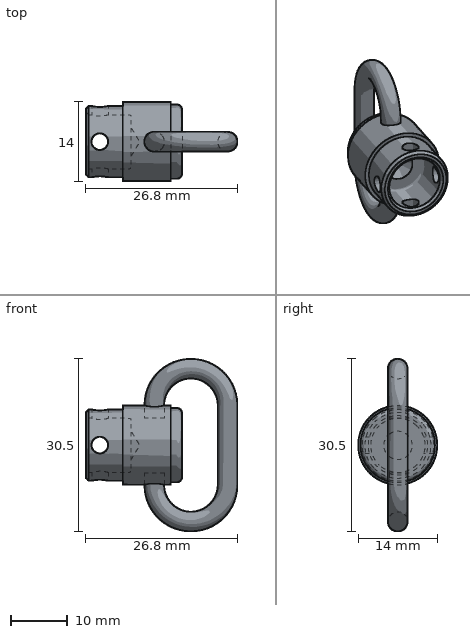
import cadquery as cq
import math

total_length = 26.75
total_height = 30.5

collar_radius = 7.0
front_radius = 6.3
rear_radius = 6.6
collar_start = 6.53
collar_end = 14.98
housing_length = 17.0
mouth_chamfer = 0.5
rear_fillet = 1.0

bore_radius = 4.8
bore_depth = 7.93
bore_chamfer = 0.45
floor_fillet = 0.4
drill_point_radius = 2.5
drill_point_angle = 118.0
drill_point_depth = drill_point_radius / math.tan(math.radians(drill_point_angle / 2))

cross_hole_radius = 1.45
cross_hole_x = 2.45

wire_radius = 1.755
wire_start_x = 12.05
wire_far_x = total_length - wire_radius
bend_radius = (wire_far_x - wire_start_x) / 2
bend_center_x = wire_start_x + bend_radius
bend_z = total_height / 2 - wire_radius - bend_radius
wire_end_depth = 2.15
wire_end_z = collar_radius - wire_end_depth


def turned_body():
    """Stepped round body with a chamfered mouth, a rounded rear and a blind bore."""
    floor_arc_offset = floor_fillet * math.sqrt(0.5)
    rear_arc_offset = rear_fillet * math.sqrt(0.5)
    floor_fillet_x = bore_depth - floor_fillet
    floor_fillet_r = bore_radius - floor_fillet
    rear_fillet_x = housing_length - rear_fillet
    rear_fillet_r = rear_radius - rear_fillet
    half_section = (
        cq.Workplane("XY")
        .moveTo(bore_depth + drill_point_depth, 0)
        .lineTo(bore_depth, drill_point_radius)
        .lineTo(bore_depth, floor_fillet_r)
        .threePointArc(
            (floor_fillet_x + floor_arc_offset, floor_fillet_r + floor_arc_offset),
            (floor_fillet_x, bore_radius),
        )
        .lineTo(bore_chamfer, bore_radius)
        .lineTo(0, bore_radius + bore_chamfer)
        .lineTo(0, front_radius - mouth_chamfer)
        .lineTo(mouth_chamfer, front_radius)
        .lineTo(collar_start, front_radius)
        .lineTo(collar_start, collar_radius)
        .lineTo(collar_end, collar_radius)
        .lineTo(collar_end, rear_radius)
        .lineTo(rear_fillet_x, rear_radius)
        .threePointArc(
            (rear_fillet_x + rear_arc_offset, rear_fillet_r + rear_arc_offset),
            (housing_length, rear_fillet_r),
        )
        .lineTo(housing_length, 0)
        .close()
    )
    return half_section.revolve(360, (0, 0, 0), (1, 0, 0))


def cross_hole(plane):
    """Cutter through both walls, along the normal of the given plane."""
    return (
        cq.Workplane(plane)
        .center(cross_hole_x, 0)
        .circle(cross_hole_radius)
        .extrude(collar_radius, both=True)
    )


def make_wire_loop():
    """Round wire bent into an oval whose two ends point at each other."""
    bend_top_z = bend_z + bend_radius
    path = (
        cq.Workplane("XZ")
        .moveTo(wire_start_x, wire_end_z)
        .lineTo(wire_start_x, bend_z)
        .threePointArc((bend_center_x, bend_top_z), (wire_far_x, bend_z))
        .lineTo(wire_far_x, -bend_z)
        .threePointArc((bend_center_x, -bend_top_z), (wire_start_x, -bend_z))
        .lineTo(wire_start_x, -wire_end_z)
    )
    wire_section = cq.Workplane("XY", origin=(wire_start_x, 0, wire_end_z)).circle(wire_radius)
    return wire_section.sweep(path)


def make_housing(loop):
    """Turned body with cross holes and matching sockets for the wire ends."""
    body = turned_body()
    for plane in ("XY", "XZ"):
        body = body.cut(cross_hole(plane))
    return body.cut(loop).solids()


wire_loop = make_wire_loop()
housing = make_housing(wire_loop)

result = cq.Compound.makeCompound([housing.val(), wire_loop.val()])